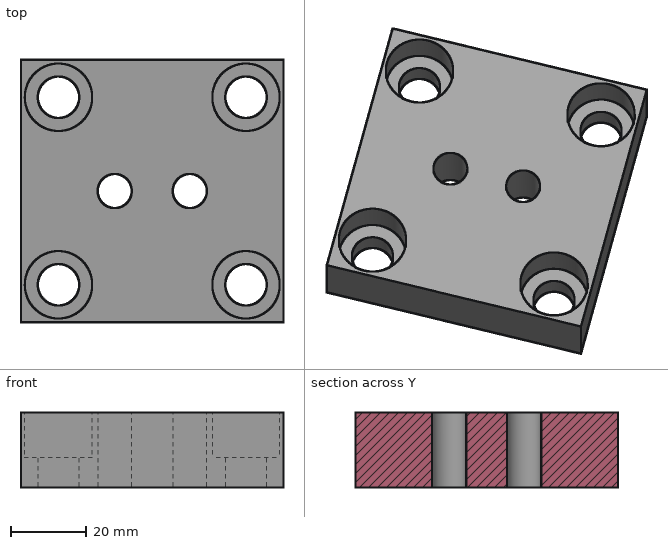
import cadquery as cq

side = 70.0
thickness = 20.0

mount_spacing = 50.0
mount_diameter = 11.0
counterbore_diameter = 18.0
counterbore_depth = 12.0

pair_spacing = 20.0
pair_diameter = 9.0

plate = cq.Workplane("XY").box(side, side, thickness)

with_mounts = (
    plate.faces(">Z")
    .workplane()
    .rarray(mount_spacing, mount_spacing, 2, 2)
    .cboreHole(mount_diameter, counterbore_diameter, counterbore_depth)
)

result = (
    with_mounts.faces(">Z")
    .workplane(origin=(0, 0, 0))
    .rarray(pair_spacing, 0.7, 2, 1)
    .hole(pair_diameter)
)